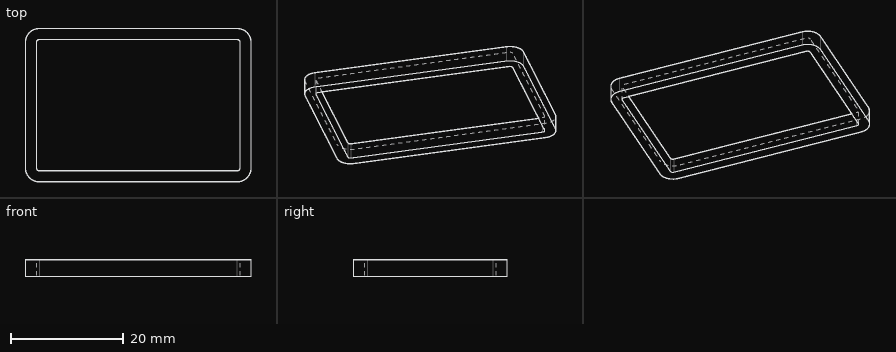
import cadquery as cq

length = 40.3
width = 27.4
height = 3.0

wall = 2.0
inner_radius = 0.5
outer_radius = inner_radius + wall


def rounded_block(size_x, size_y, corner_radius):
    """Full-height block centred on the origin in X and Y, with rounded vertical edges."""
    block = cq.Workplane("XY").box(size_x, size_y, height, centered=(True, True, False))
    return block.edges("|Z").fillet(corner_radius)


outer_block = rounded_block(length, width, outer_radius)
opening = rounded_block(length - 2 * wall, width - 2 * wall, inner_radius)

result = outer_block.cut(opening)